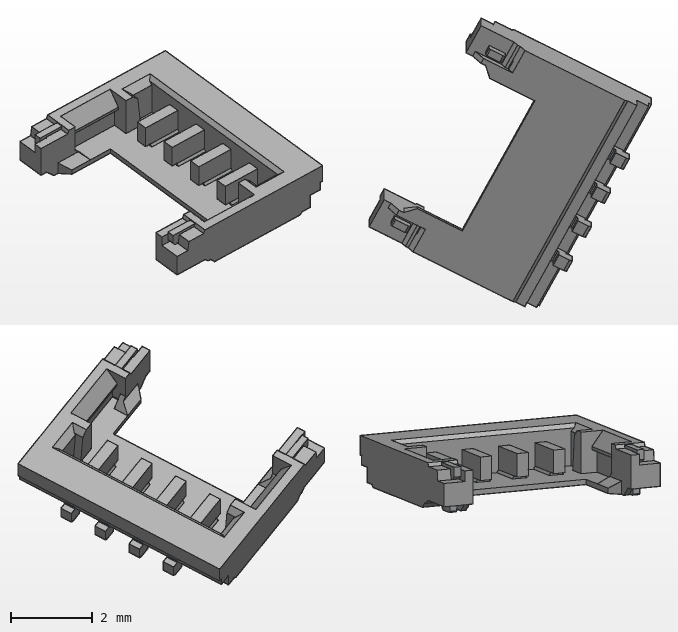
import cadquery as cq


width = 5.9
half_width = width / 2
body_depth = 4.72
top_z = 1.2
base_z = 0.025
floor_z = 0.16
clearance = 0.295

rear_step_z = 0.7
rear_step_y = 4.645
tail_recess_z = 0.47
tail_recess_y = 4.32
heel_z = 0.09
heel_chamfer_start_y = 4.065
heel_chamfer_end_y = 3.98

leg_inner_x = 2.155
leg_back_y = 1.11
leg_under_z = 0.255
leg_top_z = 1.105
leg_slope_back_y = 0.9
leg_slope_front_y = 0.86
under_step_z = 0.16
under_slope_start_y = 1.215
under_step_back_y = 1.085
under_step_front_y = 1.01
under_slope_end_y = 0.91
ledge_z = 0.84
ledge_inner_x = 2.385
ledge_top_y = 0.385
ledge_back_y = 0.35
keel_outer_x = 2.295
keel_front_y = 0.415

opening_half_x = 1.905
opening_back_y = 2.035
ramp_back_y = 1.385
ramp_top_z = 0.36
ramp_mitre_y = 1.205
ramp_outer_x = 2.3
flange_corner_y = 0.785
flange_front_y = 0.54

rib_tip_x = 2.105
rib_front_y = 2.715
rib_back_y = 2.94
rib_chamfer_y = 3.1
rib_chamfer_z = 1.055
rib_foot_y = 3.19
pocket_back_y = 3.735
pocket_side_x = 2.32
pocket_lip_x = 2.515
pocket_lip_y = 3.845
pocket_side_z = 1.02
pocket_back_z = 1.1
latch_lip_x = 2.7
latch_inner_x = 2.395
latch_slope_z = 0.815
latch_lip_z = 0.74
latch_recess_x = 2.535

contact_count = 4
contact_pitch = 1.0
contact_width = 0.305
contact_top_z = 0.82
contact_bottom_z = 0.23
contact_front_y = 2.69
contact_foot_width = 0.395
contact_foot_front_y = 2.85
tail_back_y = 4.79
tail_neck_y = 4.625
tail_top_z = 0.4
tail_front_y = 4.42
tail_under_z = 0.255
tail_bend = 0.035
tail_chamfer_y = 0.08
tail_chamfer_z = 0.05

hold_down_inner_x = 2.4
hold_down_outer_x = 2.59
tab_top_z = 1.18
tab_front_y = 0.18
tab_tip_z = 0.86
tab_tip_chamfer_y = 0.06
tab_tip_chamfer_z = 0.07
foot_back_y = 0.86
foot_front_y = 0.415
foot_back_chamfer = 0.06
foot_front_chamfer = 0.035


def side_prism(points, x_start, x_end):
    """Extrude a (Y, Z) outline from x_start to x_end."""
    return cq.Workplane("YZ", origin=(x_start, 0, 0)).polyline(points).close().extrude(x_end - x_start)


def front_prism(points, y_start, y_end):
    """Extrude an (X, Z) outline from y_start to y_end."""
    return cq.Workplane("XZ", origin=(0, y_start, 0)).polyline(points).close().extrude(y_start - y_end)


def plan_prism(points, z_start, z_end):
    """Extrude an (X, Y) outline from z_start to z_end."""
    return cq.Workplane("XY", origin=(0, 0, z_start)).polyline(points).close().extrude(z_end - z_start)


def block(x_range, y_range, z_range):
    """Box given by its two limits along each axis."""
    (x0, x1), (y0, y1), (z0, z1) = x_range, y_range, z_range
    return cq.Workplane("XY").box(x1 - x0, y1 - y0, z1 - z0, centered=False).translate((x0, y0, z0))


def both_sides(solid):
    """Pair a feature on the +X side with its mirror image."""
    return solid.union(solid.mirror("YZ"))


def housing_blank():
    """Full-width block with the stepped rear and front of the housing."""
    outline = [
        (0, leg_under_z),
        (0, leg_top_z),
        (leg_slope_front_y, leg_top_z),
        (leg_slope_back_y, top_z),
        (body_depth, top_z),
        (body_depth, rear_step_z),
        (rear_step_y, rear_step_z),
        (rear_step_y, tail_recess_z),
        (tail_recess_y, tail_recess_z),
        (tail_recess_y, heel_z),
        (heel_chamfer_start_y, heel_z),
        (heel_chamfer_end_y, base_z),
        (under_slope_start_y, base_z),
        (under_step_back_y, under_step_z),
        (under_step_front_y, under_step_z),
        (under_slope_end_y, leg_under_z),
    ]
    return side_prism(outline, -half_width, half_width)


def central_cavity():
    """Space between the ribs and legs, open to the front and the top."""
    above = (floor_z, top_z + clearance)
    mating_space = block((-rib_tip_x, rib_tip_x), (leg_back_y, pocket_back_y), above)
    floor_opening = block((-opening_half_x, opening_half_x), (-clearance, opening_back_y), (-clearance, top_z))
    mouth = block((-leg_inner_x, leg_inner_x), (-clearance, leg_back_y), (-clearance, top_z + clearance))
    return mating_space.union(floor_opening).union(mouth)


def rear_pocket():
    """Pocket around the contacts, with sloped lips at the back, sides and ribs."""
    across = front_prism(
        [
            (-pocket_side_x, floor_z),
            (-pocket_side_x, pocket_side_z),
            (-pocket_lip_x, top_z),
            (pocket_lip_x, top_z),
            (pocket_side_x, pocket_side_z),
            (pocket_side_x, floor_z),
        ],
        rib_front_y,
        pocket_lip_y,
    )
    lengthwise = side_prism(
        [
            (rib_foot_y, floor_z),
            (rib_chamfer_y, rib_chamfer_z),
            (rib_back_y, top_z),
            (pocket_lip_y, top_z),
            (pocket_back_y, pocket_back_z),
            (pocket_back_y, floor_z),
        ],
        -pocket_lip_x,
        pocket_lip_x,
    )
    return across.intersect(lengthwise)


def latch_pocket():
    """Pocket between rib and leg: sloped entry, short lip and a recess under it."""
    outline = [
        (0, floor_z),
        (0, top_z),
        (latch_lip_x, top_z),
        (latch_inner_x, latch_slope_z),
        (latch_inner_x, latch_lip_z),
        (latch_recess_x, latch_lip_z),
        (latch_recess_x, floor_z),
    ]
    return front_prism(outline, leg_back_y, rib_front_y)


def leg_ledge():
    """Cut that lowers the outer front corner of a leg."""
    outline = [
        (-clearance, ledge_z),
        (ledge_back_y, ledge_z),
        (ledge_top_y, leg_top_z),
        (-clearance, leg_top_z),
    ]
    return side_prism(outline, ledge_inner_x, half_width)


def keel():
    """Strip along the inner underside of a leg with a sloped front."""
    outline = [
        (keel_front_y, base_z),
        (keel_front_y - (leg_under_z - base_z), leg_under_z),
        (under_slope_start_y, leg_under_z),
        (under_slope_start_y, base_z),
    ]
    return side_prism(outline, leg_inner_x, keel_outer_x)


def guide_ramp():
    """Flange on the inside of a leg, sloped down to the opening and to the rear."""
    flange = plan_prism(
        [
            (opening_half_x, flange_corner_y),
            (leg_inner_x, flange_front_y),
            (leg_inner_x, ramp_back_y),
            (opening_half_x, ramp_back_y),
        ],
        base_z,
        top_z,
    )
    inner_slope = front_prism(
        [
            (opening_half_x, base_z),
            (opening_half_x, floor_z),
            (leg_inner_x, ramp_top_z),
            (leg_inner_x, base_z),
        ],
        0,
        ramp_back_y,
    )
    rear_rise = (ramp_top_z - floor_z) / (ramp_back_y - ramp_mitre_y)
    rear_peak_z = floor_z + rear_rise * (ramp_back_y - leg_back_y)
    rear_slope = side_prism(
        [
            (0, base_z),
            (0, rear_peak_z),
            (leg_back_y, rear_peak_z),
            (ramp_back_y, floor_z),
            (ramp_back_y, base_z),
        ],
        opening_half_x,
        ramp_outer_x,
    )
    corner = block((leg_inner_x, ramp_outer_x), (leg_back_y, ramp_back_y), (floor_z, rear_peak_z))
    return flange.intersect(inner_slope).union(corner).intersect(rear_slope)


def contact():
    """One contact at X = 0: blade, sloped foot on the floor, and solder tail."""
    half = contact_width / 2
    blade = block((-half, half), (contact_front_y, tail_recess_y), (contact_bottom_z, contact_top_z))
    foot_half = contact_foot_width / 2
    foot = front_prism(
        [
            (-foot_half, floor_z),
            (-half, contact_bottom_z),
            (half, contact_bottom_z),
            (foot_half, floor_z),
        ],
        contact_foot_front_y,
        pocket_back_y,
    )
    tail_outline = [
        (tail_recess_y, tail_under_z),
        (tail_recess_y, tail_recess_z),
        (tail_neck_y, tail_recess_z),
        (tail_neck_y, tail_top_z),
        (tail_back_y, tail_top_z),
        (tail_back_y, tail_chamfer_z),
        (tail_back_y - tail_chamfer_y, 0),
        (tail_front_y, 0),
        (tail_front_y, tail_under_z - tail_bend),
        (tail_front_y - tail_bend, tail_under_z),
    ]
    tail = side_prism(tail_outline, -half, half)
    return blade.union(foot).union(tail)


def hold_down_tab():
    """Metal strip on top of a leg, bent down over the ledge."""
    outline = [
        (leg_slope_back_y, leg_top_z),
        (leg_slope_back_y, tab_top_z),
        (tab_front_y, tab_top_z),
        (tab_front_y, tab_tip_z + tab_tip_chamfer_z),
        (tab_front_y + tab_tip_chamfer_y, tab_tip_z),
        (ledge_top_y, tab_tip_z),
        (ledge_top_y, leg_top_z),
    ]
    return side_prism(outline, hold_down_inner_x, hold_down_outer_x)


def hold_down_foot():
    """Solder foot of the hold-down under a leg."""
    outline = [
        (foot_back_y, leg_under_z),
        (foot_back_y, foot_back_chamfer),
        (foot_back_y - foot_back_chamfer, 0),
        (foot_front_y + foot_front_chamfer, 0),
        (foot_front_y, foot_front_chamfer),
        (foot_front_y, leg_under_z),
    ]
    return side_prism(outline, hold_down_inner_x, hold_down_outer_x)


housing = housing_blank().cut(central_cavity()).cut(rear_pocket())
housing = housing.cut(both_sides(latch_pocket())).cut(both_sides(leg_ledge()))

for feature in (keel(), guide_ramp(), hold_down_tab(), hold_down_foot()):
    housing = housing.union(both_sides(feature))

for index in range(contact_count):
    contact_x = (index - (contact_count - 1) / 2) * contact_pitch
    housing = housing.union(contact().translate((contact_x, 0, 0)))

result = housing